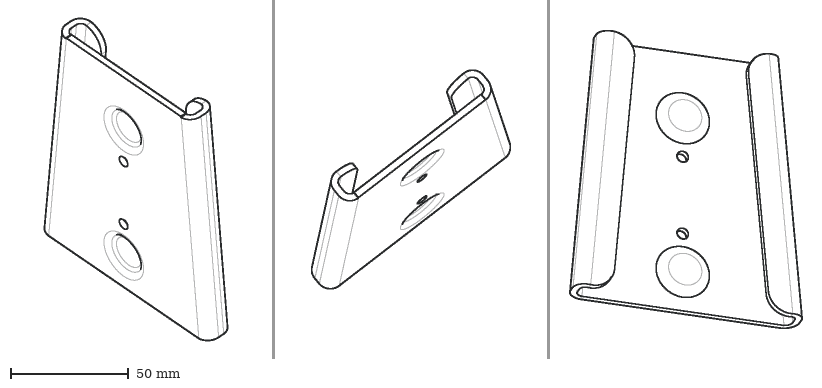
import cadquery as cq
import math

overall_height = 121.7
thickness = 3.0
bottom_bend_half_width = 45.2
taper_angle = math.radians(5)

bend_outer_radius = 6.0
flange_depth = 15.0
lip_width = 10.0

dimple_rim_radius = 11.9
dimple_floor_radius = 7.4
dimple_depth = 3.0
dimple_heights = (30.1, -42.5)
hole_diameter = 5.0
hole_heights = (11.9, -24.3)

taper_sin = math.sin(taper_angle)
taper_cos = math.cos(taper_angle)
lip_overhang = lip_width * (1 - taper_cos)
height = overall_height - lip_overhang
bottom_z = -height / 2
top_z = height / 2
top_bend_half_width = bottom_bend_half_width - height * math.tan(taper_angle)
flange_length = (height - bend_outer_radius * taper_sin) / taper_cos


def make_plate():
    return (
        cq.Workplane("XZ")
        .polyline([
            (-bottom_bend_half_width, bottom_z),
            (bottom_bend_half_width, bottom_z),
            (top_bend_half_width, top_z),
            (-top_bend_half_width, top_z),
        ])
        .close()
        .extrude(-thickness)
    )


def make_bends_and_wall():
    """Right-hand channel section swept along the bend line, without its lip."""
    inner_radius = bend_outer_radius - thickness
    diagonal = math.sqrt(0.5)
    far_bend_y = flange_depth - bend_outer_radius
    section_plane = cq.Plane(
        origin=(bottom_bend_half_width, 0, bottom_z),
        xDir=(taper_cos, 0, taper_sin),
        normal=(-taper_sin, 0, taper_cos),
    )
    return (
        cq.Workplane(section_plane)
        .moveTo(0, 0)
        .threePointArc(
            (bend_outer_radius * diagonal, bend_outer_radius * (1 - diagonal)),
            (bend_outer_radius, bend_outer_radius),
        )
        .lineTo(bend_outer_radius, far_bend_y)
        .threePointArc(
            (bend_outer_radius * diagonal, far_bend_y + bend_outer_radius * diagonal),
            (0, flange_depth),
        )
        .lineTo(0, flange_depth - thickness)
        .threePointArc(
            (inner_radius * diagonal, far_bend_y + inner_radius * diagonal),
            (inner_radius, far_bend_y),
        )
        .lineTo(inner_radius, bend_outer_radius)
        .threePointArc(
            (inner_radius * diagonal, bend_outer_radius - inner_radius * diagonal),
            (0, thickness),
        )
        .close()
        .extrude(flange_length)
    )


def make_lip():
    """Right-hand lip, with both free corners rounded."""
    lip_plane = cq.Plane(
        origin=(bottom_bend_half_width, flange_depth, bottom_z),
        xDir=(-taper_cos, 0, -taper_sin),
        normal=(0, 1, 0),
    )
    arc_mid_x = lip_width * math.sqrt(0.5)
    arc_mid_inset = lip_width - arc_mid_x
    return (
        cq.Workplane(lip_plane)
        .moveTo(0, 0)
        .threePointArc((arc_mid_x, arc_mid_inset), (lip_width, lip_width))
        .lineTo(lip_width, flange_length - lip_width)
        .threePointArc((arc_mid_x, flange_length - arc_mid_inset), (0, flange_length))
        .close()
        .extrude(-thickness)
    )


def press_dimple(body, z):
    """Replace a disc of the plate with a dished wall of constant thickness."""
    run = dimple_rim_radius - dimple_floor_radius
    sweep = 2 * math.atan(dimple_depth / run)
    dome_radius = run / math.sin(sweep)
    floor_arc_radius = dome_radius - thickness
    dome_centre_y = thickness + dimple_depth - dome_radius
    back_y = thickness + dimple_depth

    def rim_point(angle):
        return (
            dimple_rim_radius - thickness * math.sin(angle),
            thickness - thickness * math.cos(angle),
        )

    def dome_point(radius, angle):
        return (
            dimple_floor_radius + radius * math.sin(angle),
            dome_centre_y + radius * math.cos(angle),
        )

    wall = (
        cq.Workplane("XY", origin=(0, 0, z))
        .moveTo(0, dimple_depth)
        .lineTo(dimple_floor_radius, dimple_depth)
        .threePointArc(dome_point(floor_arc_radius, sweep / 2), rim_point(sweep))
        .threePointArc(rim_point(sweep / 2), (dimple_rim_radius, 0))
        .lineTo(dimple_rim_radius, thickness)
        .threePointArc(dome_point(dome_radius, sweep / 2), (dimple_floor_radius, back_y))
        .lineTo(0, back_y)
        .close()
        .revolve(360, (0, 0, 0), (0, 1, 0))
    )
    disc = cq.Workplane("XZ", origin=(0, 0, z)).circle(dimple_rim_radius).extrude(-thickness)
    return body.cut(disc).union(wall)


flange = make_bends_and_wall().union(make_lip())
result = make_plate().union(flange).union(flange.mirror("YZ"))

for dimple_z in dimple_heights:
    result = press_dimple(result, dimple_z)

for hole_z in hole_heights:
    hole = cq.Workplane("XZ", origin=(0, 0, hole_z)).circle(hole_diameter / 2).extrude(-thickness)
    result = result.cut(hole)